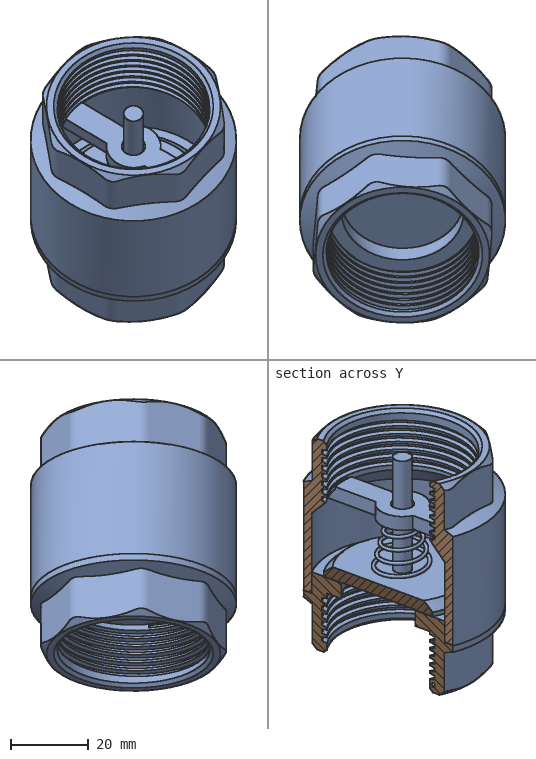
import cadquery as cq
import math

total_height = 62.0
barrel_diameter = 53.0
barrel_radius = barrel_diameter / 2
shoulder_edge_offset = 14.1
shoulder_neck_offset = 12.3
joint_z = 15.95

across_flats = 45.0
corner_fillet = 4.65
end_face_diameter = 44.8
octagon_sides = 8
octagon_diameter = across_flats / math.cos(math.pi / octagon_sides)

crest_radius = 39.25 / 2
root_radius = 41.9 / 2
mouth_radius = 41.1 / 2
thread_pitch = 2.3
groove_mouth_width = 1.6
groove_root_width = 1.0
groove_start_offset = 2.25
groove_turns = 6.6
groove_start_angle = 150.0
groove_overlap = 0.2
bore_end_offset = 17.55

chamber_radius = 47.8 / 2
chamber_top_z = 39.5
seat_z = 22.3
seat_bore_radius = 31.5 / 2

disc_top_radius = 36.1 / 2
disc_thickness = 3.7
disc_bevel = 2.5
disc_top_z = seat_z + disc_thickness
stem_radius = 5.0 / 2
stem_top_z = 58.9

guide_top_z = 45.15
guide_thickness = 4.0
guide_bottom_z = guide_top_z - guide_thickness
guide_bar_width = 6.9
guide_hub_radius = 14.0 / 2
guide_hole_radius = 6.0 / 2

wire_radius = 0.5
spring_bottom_radius = 7.55
spring_taper_per_turn = 0.85
spring_turns = 4


def revolve_profile(points):
    """Turn a closed outline of (radius, z) points about the Z axis."""
    return cq.Workplane("XZ").polyline(points).close().revolve(360, (0, 0, 0), (0, 1, 0))


def cylinder(radius, bottom_z, top_z):
    return cq.Workplane("XY").workplane(offset=bottom_z).circle(radius).extrude(top_z - bottom_z)


def octagon_end():
    """Octagonal wrench end standing on z = 0, chamfered at the bottom."""
    height = shoulder_edge_offset
    end_face_radius = end_face_diameter / 2
    prism = (
        cq.Workplane("XY")
        .transformed(rotate=(0, 0, 180 / octagon_sides))
        .polygon(octagon_sides, octagon_diameter)
        .extrude(height)
        .edges("|Z")
        .fillet(corner_fillet)
    )
    chamfer_cone = revolve_profile(
        [(0, 0), (end_face_radius, 0), (end_face_radius + height, height), (0, height)]
    )
    return prism.intersect(chamfer_cone)


def shoulder(top_z):
    """Conical shoulder above a lower octagonal end, with the barrel continued up to top_z."""
    neck_radius = across_flats / 2
    return revolve_profile(
        [
            (0, shoulder_neck_offset),
            (neck_radius, shoulder_neck_offset),
            (barrel_radius, shoulder_edge_offset),
            (barrel_radius, top_z),
            (0, top_z),
        ]
    )


def plain_bore():
    """Cutter for the lower bore with its mouth chamfer, before the thread is cut."""
    mouth_depth = mouth_radius - crest_radius
    return revolve_profile(
        [
            (0, 0),
            (mouth_radius, 0),
            (crest_radius, mouth_depth),
            (crest_radius, bore_end_offset),
            (0, bore_end_offset),
        ]
    )


def thread_groove():
    """Cutter for the helical thread groove of the lower end, a trapezium swept along a helix."""
    height = groove_turns * thread_pitch
    flank_slope = (groove_mouth_width - groove_root_width) / 2 / (root_radius - crest_radius)
    half_root = groove_root_width / 2
    half_inner = groove_mouth_width / 2 + groove_overlap * flank_slope
    inner_radius = crest_radius - groove_overlap
    path = cq.Wire.makeHelix(thread_pitch, height, crest_radius)
    groove = (
        cq.Workplane("XZ")
        .polyline(
            [
                (inner_radius, -half_inner),
                (root_radius, -half_root),
                (root_radius, half_root),
                (inner_radius, half_inner),
            ]
        )
        .close()
        .sweep(cq.Workplane(path), isFrenet=True)
    )
    turned_groove = groove.rotate((0, 0, 0), (0, 0, 1), groove_start_angle)
    return turned_groove.translate((0, 0, groove_start_offset))


def turn_to_upper_end(shape):
    """Turn a lower-end shape half a turn about a horizontal axis, which keeps a thread right-handed."""
    middle = total_height / 2
    return shape.rotate((0, 0, middle), (1, 0, middle), 180)


def chamber():
    """Flow chamber, narrowing in a cone to the upper threaded bore."""
    cone_top_z = total_height - bore_end_offset
    return revolve_profile(
        [
            (0, joint_z),
            (chamber_radius, joint_z),
            (chamber_radius, chamber_top_z),
            (crest_radius, cone_top_z),
            (crest_radius, guide_top_z),
            (0, guide_top_z),
        ]
    )


def make_housing():
    """Barrel with the threaded upper end, open at the joint with the end cap."""
    outside = turn_to_upper_end(octagon_end().union(shoulder(total_height - joint_z)))
    bore = turn_to_upper_end(plain_bore())
    groove = turn_to_upper_end(thread_groove())
    return outside.cut(bore).cut(chamber()).cut(groove)


def make_end_cap():
    """Lower end whose spigot fills the chamber mouth and carries the valve seat."""
    spigot = cylinder(chamber_radius, joint_z, seat_z)
    seat_bore = cylinder(seat_bore_radius, 0, seat_z)
    outside = octagon_end().union(shoulder(joint_z)).union(spigot)
    return outside.cut(plain_bore()).cut(seat_bore).cut(thread_groove())


def make_poppet():
    """Bevelled closing disc with its guide stem."""
    return revolve_profile(
        [
            (0, seat_z),
            (disc_top_radius + disc_bevel, seat_z),
            (disc_top_radius + disc_bevel, disc_top_z - disc_bevel),
            (disc_top_radius, disc_top_z),
            (stem_radius, disc_top_z),
            (stem_radius, stem_top_z),
            (0, stem_top_z),
        ]
    )


def make_guide():
    """Bar across the chamber whose ends follow the chamber wall, with a drilled hub for the stem."""
    bar = (
        cq.Workplane("XY")
        .workplane(offset=guide_bottom_z)
        .rect(2 * chamber_radius, guide_bar_width)
        .extrude(guide_thickness)
        .intersect(chamber())
    )
    hub = cylinder(guide_hub_radius, guide_bottom_z, guide_top_z)
    hole = cylinder(guide_hole_radius, guide_bottom_z, guide_top_z)
    return bar.union(hub).cut(hole)


def make_spring():
    """Round wire on a right-handed tapered helix, standing between the disc and the guide."""
    bottom_z = disc_top_z + wire_radius
    height = guide_bottom_z - wire_radius - bottom_z
    taper_angle = math.degrees(math.atan(spring_taper_per_turn * spring_turns / height))
    path = cq.Wire.makeHelix(
        height / spring_turns, height, spring_bottom_radius, angle=-taper_angle
    )
    wire = (
        cq.Workplane("XZ")
        .center(spring_bottom_radius, 0)
        .circle(wire_radius)
        .sweep(cq.Workplane(path), isFrenet=True)
    )
    return wire.translate((0, 0, bottom_z))


housing = make_housing()
end_cap = make_end_cap()
poppet = make_poppet()
guide = make_guide()
spring = make_spring()

result = cq.Compound.makeCompound(
    [housing.val(), end_cap.val(), poppet.val(), guide.val(), spring.val()]
)